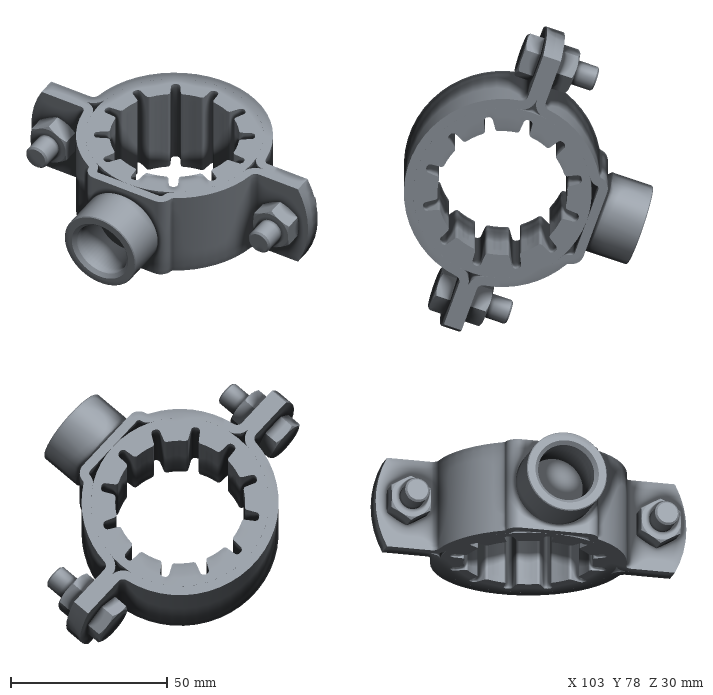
import cadquery as cq
import math

clamp_width = 30.0
strap_thickness = 3.0
liner_outer_radius = 28.5
strap_outer_radius = liner_outer_radius + strap_thickness

flange_reach = 51.5
flange_end_radius = 31.5
flange_bend_radius = 2.0
bolt_offset = 41.4

seat_bend_radius = 1.0
seat_departure_angle = 30.0

socket_diameter = 26.5
socket_length = 15.0
socket_bore = 18.63
socket_mouth_diameter = 21.0
socket_weld_chamfer = 1.25
socket_rim_chamfer = 0.3

slot_count = 12
rib_face_radius = 20.75
slot_tip_radius = 25.75
slot_tip_width = 2.75
slot_mouth_width = 3.5
slot_tip_fillet = 1.25
rib_corner_fillet = 1.0

thread_diameter = 8.0
shank_length = 20.0
shank_end_chamfer = 0.6
hex_across_flats = 13.0
hex_across_corners = hex_across_flats / math.cos(math.radians(30))
head_height = 5.3
nut_height = 6.5
hex_chamfer_angle = 30.0
hex_face_diameter = 13.0
left_head_turn = 0.0
right_head_turn = 32.0
nut_turn = 30.0


def polar(center, radius, angle):
    """Point on a circle, angle in degrees from +X."""
    turn = math.radians(angle)
    return (center[0] + radius * math.cos(turn), center[1] + radius * math.sin(turn))


def strap_plane():
    return cq.Workplane("XY", origin=(0, 0, -clamp_width / 2))


def strap_sector(center, inner_radius, start, end):
    """Curved stretch of strap between two angles around a bend center."""
    outer_radius = inner_radius + strap_thickness
    middle = (start + end) / 2
    return (
        strap_plane()
        .moveTo(*polar(center, inner_radius, start))
        .lineTo(*polar(center, outer_radius, start))
        .threePointArc(polar(center, outer_radius, middle), polar(center, outer_radius, end))
        .lineTo(*polar(center, inner_radius, end))
        .threePointArc(polar(center, inner_radius, middle), polar(center, inner_radius, start))
        .close()
        .extrude(clamp_width)
    )


def strap_flat(x_start, x_end, y_start):
    """Straight stretch of strap, one thickness deep in Y from y_start."""
    return (
        strap_plane()
        .moveTo(x_start, y_start)
        .rect(x_end - x_start, strap_thickness, centered=False)
        .extrude(clamp_width)
    )


def with_mirror(side):
    return side.union(side.mirror("YZ"))


flange_bend_y = strap_thickness + flange_bend_radius
flange_bend_distance = strap_outer_radius + flange_bend_radius
ring_end_angle = math.degrees(math.asin(flange_bend_y / flange_bend_distance))
flange_bend_center = polar((0, 0), flange_bend_distance, ring_end_angle)

seat_start_angle = -90 + seat_departure_angle
seat_outward_center = polar((0, 0), strap_outer_radius + seat_bend_radius, seat_start_angle)
seat_corner_y = -liner_outer_radius + seat_bend_radius
bend_center_distance = 2 * seat_bend_radius + strap_thickness
seat_corner_rise = seat_corner_y - seat_outward_center[1]
seat_corner_run = math.sqrt(bend_center_distance**2 - seat_corner_rise**2)
seat_corner_center = (seat_outward_center[0] - seat_corner_run, seat_corner_y)
seat_joint_angle = -math.degrees(math.asin(seat_corner_rise / bend_center_distance))


def flange_pair():
    """Both flanges and their bends, lying on Y = 0 and reaching to +Y."""
    flange = strap_flat(flange_bend_center[0], flange_reach, 0)
    bend = strap_sector(flange_bend_center, flange_bend_radius, 180 + ring_end_angle, 270)
    return with_mirror(flange.union(bend))


def finish_strap(strap):
    """Round the flange ends and drill the bolt holes."""
    half_width = clamp_width / 2
    flange_arc_run = math.sqrt(flange_end_radius**2 - half_width**2)
    flange_end_x = flange_reach - flange_end_radius + flange_arc_run
    blank = (
        cq.Workplane("XZ")
        .moveTo(-flange_end_x, -half_width)
        .lineTo(flange_end_x, -half_width)
        .threePointArc((flange_reach, 0), (flange_end_x, half_width))
        .lineTo(-flange_end_x, half_width)
        .threePointArc((-flange_reach, 0), (-flange_end_x, -half_width))
        .close()
        .extrude(2 * strap_outer_radius, both=True)
    )
    bolt_holes = (
        cq.Workplane("XZ")
        .pushPoints([(-bolt_offset, 0), (bolt_offset, 0)])
        .circle(thread_diameter / 2)
        .extrude(2 * strap_thickness, both=True)
    )
    return strap.intersect(blank).cut(bolt_holes)


def make_upper_clamp():
    ring = strap_sector((0, 0), liner_outer_radius, ring_end_angle, 180 - ring_end_angle)
    return finish_strap(ring.union(flange_pair()))


def make_lower_clamp():
    ring_side = strap_sector((0, 0), liner_outer_radius, seat_start_angle, -ring_end_angle)
    outward_bend = strap_sector(
        seat_outward_center, seat_bend_radius, 180 + seat_start_angle, 180 + seat_joint_angle
    )
    corner_bend = strap_sector(seat_corner_center, seat_bend_radius, -90, seat_joint_angle)
    seat = strap_flat(-seat_corner_center[0], seat_corner_center[0], -strap_outer_radius)
    sides = with_mirror(ring_side.union(outward_bend).union(corner_bend))
    return finish_strap(sides.union(seat).union(flange_pair().mirror("XZ")))


def make_socket():
    """Open-ended socket standing on the seat, with a beveled bore mouth."""
    mouth_chamfer = (socket_mouth_diameter - socket_bore) / 2
    socket = (
        cq.Workplane("XZ", origin=(0, -strap_outer_radius, 0))
        .circle(socket_diameter / 2)
        .extrude(socket_length)
    )
    socket = socket.faces(">Y").chamfer(socket_weld_chamfer)
    socket = socket.faces("<Y").chamfer(socket_rim_chamfer)
    socket = socket.faces("<Y").workplane().hole(socket_bore)
    return socket.faces("<Y").edges(cq.selectors.RadiusNthSelector(0)).chamfer(mouth_chamfer)


def make_liner_ring():
    """Whole slotted liner: curved ribs with tapered slots between them."""
    pitch = 360 / slot_count
    liner = strap_plane().circle(liner_outer_radius).circle(rib_face_radius).extrude(clamp_width)
    slot = (
        strap_plane()
        .moveTo(0, -slot_mouth_width / 2)
        .lineTo(rib_face_radius, -slot_mouth_width / 2)
        .lineTo(slot_tip_radius, -slot_tip_width / 2)
        .lineTo(slot_tip_radius, slot_tip_width / 2)
        .lineTo(rib_face_radius, slot_mouth_width / 2)
        .lineTo(0, slot_mouth_width / 2)
        .close()
        .extrude(clamp_width)
        .edges("|Z and >X")
        .fillet(slot_tip_fillet)
    )
    for index in range(slot_count):
        liner = liner.cut(slot.rotate((0, 0, 0), (0, 0, 1), index * pitch))

    def is_rib_corner(edge):
        return math.hypot(edge.Center().x, edge.Center().y) < rib_face_radius + rib_corner_fillet

    return liner.edges("|Z").filter(is_rib_corner).fillet(rib_corner_fillet)


def split_liner(ring, side):
    """Half of the liner ring on the +Y (side 1) or -Y (side -1) of the split plane."""
    half_space = (
        strap_plane()
        .center(0, side * liner_outer_radius)
        .rect(2 * liner_outer_radius, 2 * liner_outer_radius)
        .extrude(clamp_width)
    )
    return ring.intersect(half_space)


def hexagon_blank(x, y_start, height, turn):
    """Sharp hexagonal prism from y_start toward -Y, turned about its axis."""
    return (
        cq.Workplane("XZ", origin=(x, y_start, 0))
        .transformed(rotate=(0, 0, turn))
        .polygon(6, hex_across_corners)
        .extrude(height)
    )


def corner_cone(x, face_y, direction):
    """Cone that trims hexagon corners at face_y, widening along Y in the given direction."""
    depth = 2 * nut_height
    spread = depth / math.tan(math.radians(hex_chamfer_angle))
    return (
        cq.Workplane("XY", origin=(x, face_y, 0))
        .lineTo(hex_face_diameter / 2, 0)
        .lineTo(hex_face_diameter / 2 + spread, direction * depth)
        .lineTo(0, direction * depth)
        .close()
        .revolve(360, (0, 0, 0), (0, 1, 0))
    )


def make_bolt(x, head_turn):
    head_top = strap_thickness + head_height
    head = hexagon_blank(x, head_top, head_height, head_turn).intersect(corner_cone(x, head_top, -1))
    shank = (
        cq.Workplane("XZ", origin=(x, strap_thickness, 0))
        .circle(thread_diameter / 2)
        .extrude(shank_length)
        .faces("<Y")
        .chamfer(shank_end_chamfer)
    )
    return head.union(shank)


def make_nut(x):
    inner_face = -strap_thickness
    outer_face = inner_face - nut_height
    nut = hexagon_blank(x, inner_face, nut_height, nut_turn)
    nut = nut.intersect(corner_cone(x, inner_face, -1))
    nut = nut.intersect(corner_cone(x, outer_face, 1))
    thread = (
        cq.Workplane("XZ", origin=(x, inner_face, 0))
        .circle(thread_diameter / 2)
        .extrude(nut_height)
    )
    return nut.cut(thread)


upper_clamp = make_upper_clamp()
lower_clamp = make_lower_clamp()
socket = make_socket()
liner_ring = make_liner_ring()
liner_halves = [split_liner(liner_ring, side) for side in (1, -1)]
bolts = [make_bolt(-bolt_offset, left_head_turn), make_bolt(bolt_offset, right_head_turn)]
nuts = [make_nut(x) for x in (-bolt_offset, bolt_offset)]

result = cq.Compound.makeCompound(
    [
        upper_clamp.val(),
        lower_clamp.val(),
        socket.val(),
        *[half.val() for half in liner_halves],
        *[bolt.val() for bolt in bolts],
        *[nut.val() for nut in nuts],
    ]
)